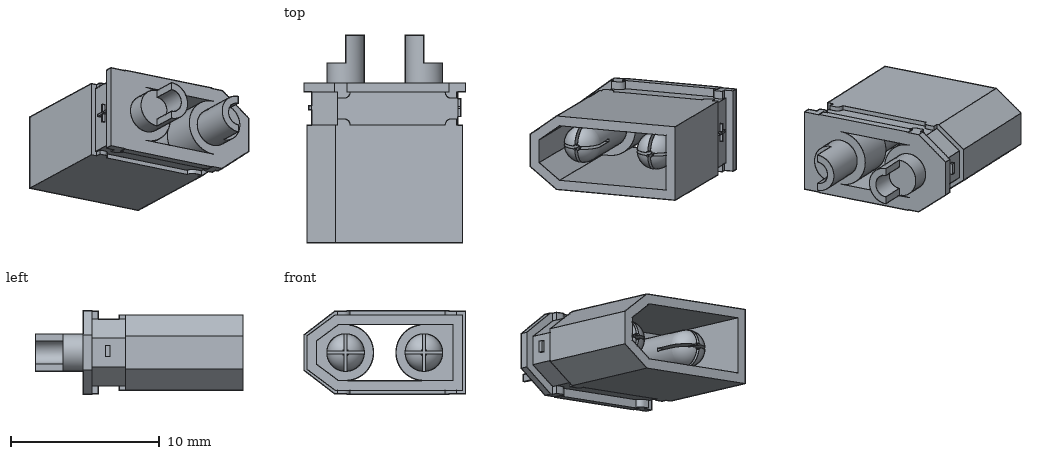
import cadquery as cq
import math

WIRE_END_Y = 6.98
CUP_STEP_Y = 5.12
FLANGE_BACK_Y = 3.77
FLANGE_FRONT_Y = 3.17
SHELL_BACK_Y = 0.94
MATING_END_Y = -6.98
PIN_TIP_Y = -5.15

FLANGE_LENGTH = 10.87
LIP_HEIGHT = 5.63

FLANGE_OUTLINE = (FLANGE_LENGTH / 2, 2.78, 1.19, -3.36)
NECK_OUTLINE = (4.91, 2.25, 0.96, -3.18)
SHELL_OUTLINE = (5.24, 2.54, 1.12, -3.32)
NECK_HALF_LENGTH = NECK_OUTLINE[0]
FLANGE_HALF_HEIGHT = FLANGE_OUTLINE[1]
SHELL_HALF_HEIGHT = SHELL_OUTLINE[1]

WALL = 0.65
CAVITY_HALF_HEIGHT = SHELL_HALF_HEIGHT - WALL

LIP_START_X = -2.54
LIP_END_X = 4.31
LIP_HALF_HEIGHT = LIP_HEIGHT / 2

TAB_START_X = -3.18
TAB_END_X = 4.82
TAB_LENGTH = 0.42
TAB_CORNER_RADIUS = 0.4
TAB_LEFT_WIDTH = 0.85
TAB_RIGHT_WIDTH = 0.75

PIN_PITCH = 5.26
PIN_X = PIN_PITCH / 2
PIN_DIAMETER = 2.53
PIN_RADIUS = PIN_DIAMETER / 2
CUP_DIAMETER = 1.54
SLOT_WIDTH = 0.2
SLOT_DEPTH = 2.79
TIP_HOLE_DIAMETER = 0.45
TIP_HOLE_DEPTH = 0.28

MARK_HEIGHT = 0.2
MARK_Y = 2.11
MARK_Z = 0.11
MINUS_WIDTH = 0.3
MINUS_LENGTH = 0.75
PLUS_WIDTH = 0.14
PLUS_LENGTH = 1.21


def centred_box(centre, size):
    """Box of the given size about its centre."""
    return cq.Workplane("XY").box(*size).translate(centre)


def box(x_range, y_range, z_range):
    """Box between the given limits."""
    ranges = (x_range, y_range, z_range)
    centre = tuple((start + end) / 2 for start, end in ranges)
    size = [abs(end - start) for start, end in ranges]
    return centred_box(centre, size)


def rod(x, diameter, back_y, front_y):
    """Round bar along Y."""
    return cq.Workplane("XZ", origin=(x, back_y, 0)).circle(diameter / 2).extrude(back_y - front_y)


def nosed_prism(outline, back_y, front_y, inset=0.0):
    """Prism along Y with a square +X end and a tapered -X nose."""
    half_length, half_height, nose_half_height, shoulder_x = outline
    profile = cq.Workplane("XZ", origin=(0, back_y, 0)).polyline([
        (-half_length, nose_half_height),
        (shoulder_x, half_height),
        (half_length, half_height),
        (half_length, -half_height),
        (shoulder_x, -half_height),
        (-half_length, -nose_half_height),
    ]).close()
    if inset:
        profile = profile.offset2D(-inset, "intersection")
    return profile.extrude(back_y - front_y)


def tab(outer_x, inner_x, root_y, end_y, half_height):
    """Tabs on both flat sides, with the inner free corner rounded."""
    block = box((outer_x, inner_x), (root_y, end_y), (-half_height, half_height))
    x_side = ">X" if inner_x > outer_x else "<X"
    y_side = ">Y" if end_y > root_y else "<Y"
    return block.edges("|Z").edges(x_side).edges(y_side).fillet(TAB_CORNER_RADIUS)


def housing():
    """Flange, neck and shell with their lips and tabs, still solid inside."""
    body = nosed_prism(FLANGE_OUTLINE, FLANGE_BACK_Y, FLANGE_FRONT_Y)
    body = body.union(nosed_prism(NECK_OUTLINE, FLANGE_BACK_Y, MATING_END_Y))
    body = body.union(nosed_prism(SHELL_OUTLINE, SHELL_BACK_Y, MATING_END_Y))
    body = body.union(box(
        (LIP_START_X, LIP_END_X),
        (FLANGE_BACK_Y, FLANGE_FRONT_Y),
        (-LIP_HALF_HEIGHT, LIP_HALF_HEIGHT),
    ))
    corners = (
        (TAB_START_X, TAB_START_X + TAB_LEFT_WIDTH),
        (TAB_END_X, TAB_END_X - TAB_RIGHT_WIDTH),
    )
    for outer_x, inner_x in corners:
        body = body.union(tab(
            outer_x, inner_x, FLANGE_FRONT_Y, FLANGE_FRONT_Y - TAB_LENGTH, FLANGE_HALF_HEIGHT))
        body = body.union(tab(
            outer_x, inner_x, SHELL_BACK_Y, SHELL_BACK_Y + TAB_LENGTH, SHELL_HALF_HEIGHT))
    return body


def cavity():
    """Mating socket, plus the window left open between the two pin seats."""
    socket = nosed_prism(SHELL_OUTLINE, SHELL_BACK_Y, MATING_END_Y, WALL)
    window = box(
        (-PIN_X, PIN_X),
        (FLANGE_BACK_Y, SHELL_BACK_Y),
        (-CAVITY_HALF_HEIGHT, CAVITY_HALF_HEIGHT),
    )
    for pin_x in (-PIN_X, PIN_X):
        window = window.cut(rod(pin_x, 2 * CAVITY_HALF_HEIGHT, FLANGE_BACK_Y, SHELL_BACK_Y))
    return socket.union(window)


def pin(x, open_side):
    """Pin with a half-open wire cup facing open_side (-1 or 1 along X)."""
    dome_base_y = PIN_TIP_Y + PIN_RADIUS
    arc_step = PIN_RADIUS * math.sin(math.pi / 4)
    body = (
        cq.Workplane("XY")
        .moveTo(0, WIRE_END_Y)
        .lineTo(PIN_RADIUS, WIRE_END_Y)
        .lineTo(PIN_RADIUS, dome_base_y)
        .threePointArc((arc_step, dome_base_y - arc_step), (0, PIN_TIP_Y))
        .close()
        .revolve(360, (0, 0), (0, 1))
        .translate((x, 0, 0))
    )
    body = body.cut(rod(x, CUP_DIAMETER, WIRE_END_Y, CUP_STEP_Y))
    body = body.cut(box(
        (x, x + open_side * PIN_DIAMETER), (WIRE_END_Y, CUP_STEP_Y), (-PIN_DIAMETER, PIN_DIAMETER)))
    body = body.cut(rod(x, TIP_HOLE_DIAMETER, PIN_TIP_Y + TIP_HOLE_DEPTH, PIN_TIP_Y))
    slot_centre = (x, PIN_TIP_Y + SLOT_DEPTH / 2, 0)
    body = body.cut(centred_box(slot_centre, (PIN_DIAMETER, SLOT_DEPTH, SLOT_WIDTH)))
    return body.cut(centred_box(slot_centre, (SLOT_WIDTH, SLOT_DEPTH, PIN_DIAMETER)))


def polarity_marks():
    """Minus on the nose end and plus on the square end, sunk into the neck to fuse with it."""
    depth = 2 * MARK_HEIGHT
    minus_centre = (-NECK_HALF_LENGTH, MARK_Y, MARK_Z)
    plus_centre = (NECK_HALF_LENGTH, MARK_Y, MARK_Z)
    minus = centred_box(minus_centre, (depth, MINUS_WIDTH, MINUS_LENGTH))
    plus = centred_box(plus_centre, (depth, PLUS_WIDTH, PLUS_LENGTH))
    plus = plus.union(centred_box(plus_centre, (depth, PLUS_LENGTH, PLUS_WIDTH)))
    return minus.union(plus)


result = housing().cut(cavity())
result = result.union(pin(-PIN_X, -1)).union(pin(PIN_X, 1))
result = result.union(polarity_marks())